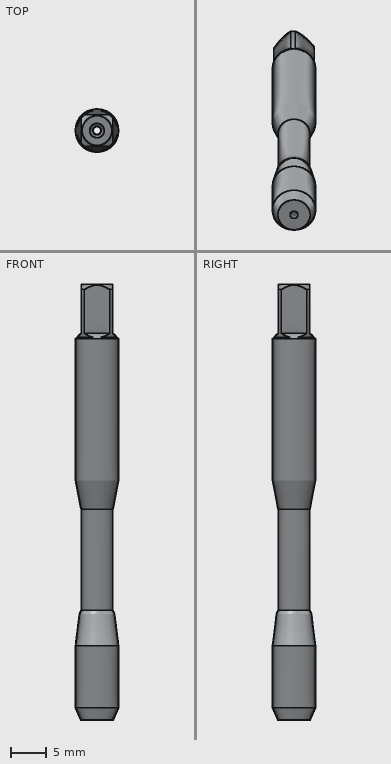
import cadquery as cq
import math

total_length = 62.0
lead_top = 1.75
thread_top = 10.6
relief_cone_top = 15.05
neck_bottom = 15.6
neck_top = 30.0
shank_cone_bottom = 30.2
shank_bottom = 34.1
square_bottom = 55.0
shank_top = 54.25

shank_diameter = 6.15
thread_diameter = 6.15
tip_diameter = 4.6
relief_cone_small_diameter = 5.0
neck_diameter = 4.5
shank_cone_small_diameter = 4.65
square_corner_diameter = 5.75
top_face_diameter = 4.2

square_width = 4.5

bore_diameter = 1.1
countersink_diameter = 2.05
countersink_angle = 60.0


def revolve_profile(points):
    """Turn a closed outline of (radius, height) points about the Z axis."""
    return cq.Workplane("XZ").polyline(points).close().revolve(360, (0, 0, 0), (0, 1, 0))


def bore(body):
    """Cut the axial bore through the whole length of a body."""
    return body.cut(cq.Workplane("XY").circle(bore_diameter / 2).extrude(total_length))


def make_thread_head():
    """Cylindrical threaded head with a tapered lead at its tip."""
    head = revolve_profile([
        (0, 0),
        (tip_diameter / 2, 0),
        (thread_diameter / 2, lead_top),
        (thread_diameter / 2, thread_top),
        (0, thread_top),
    ])
    return bore(head)


def make_turned_shank():
    """Relief cone, neck, shank and the round blank of the driving square."""
    shank_radius = shank_diameter / 2
    corner_radius = square_corner_diameter / 2
    top_radius = top_face_diameter / 2
    shoulder_height = shank_radius - corner_radius
    top_chamfer_height = corner_radius - top_radius
    return revolve_profile([
        (0, thread_top),
        (thread_diameter / 2, thread_top),
        (relief_cone_small_diameter / 2, relief_cone_top),
        (neck_diameter / 2, neck_bottom),
        (neck_diameter / 2, neck_top),
        (shank_cone_small_diameter / 2, shank_cone_bottom),
        (shank_radius, shank_bottom),
        (shank_radius, shank_top),
        (corner_radius, shank_top + shoulder_height),
        (corner_radius, total_length - top_chamfer_height),
        (top_radius, total_length),
        (0, total_length),
    ])


def make_flat_cutter():
    """Prism that mills the flat on the +X side, with a 45 degree run-out below."""
    inner = square_width / 2
    outer = shank_diameter
    return (
        cq.Workplane("XZ")
        .polyline([
            (inner, square_bottom),
            (outer, square_bottom - (outer - inner)),
            (outer, total_length),
            (inner, total_length),
        ])
        .close()
        .extrude(shank_diameter, both=True)
    )


def make_countersink():
    """Conical centre at the top of the bore."""
    rim_radius = countersink_diameter / 2
    depth = rim_radius / math.tan(math.radians(countersink_angle / 2))
    return revolve_profile([
        (0, total_length - depth),
        (rim_radius, total_length),
        (0, total_length),
    ])


def make_shank():
    """Shank with its driving square, centre countersink and bore."""
    shank = make_turned_shank()
    flat_cutter = make_flat_cutter()
    for angle in (0, 90, 180, 270):
        shank = shank.cut(flat_cutter.rotate((0, 0, 0), (0, 0, 1), angle))
    return bore(shank.cut(make_countersink()))


thread_head = make_thread_head()
shank = make_shank()

result = cq.Compound.makeCompound([thread_head.val(), shank.val()])